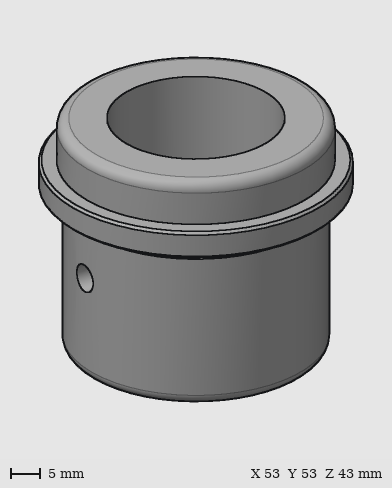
import cadquery as cq
import math

flange_radius = 26.5
head_radius = 23.5
body_radius = 22.5
bore_radius = 15.0
neck_radius = 21.8
total_height = 43.0
flange_bottom = 30.0
flange_thickness = 5.0
neck_height = 2.1
head_fillet = 2.0
flange_chamfer = 0.5
foot_fillet = 2.0
hole_diameter = 5.0
hole_height = 18.95

flange_top = flange_bottom + flange_thickness
neck_bottom = flange_bottom - neck_height


def cylinder(radius, bottom, top):
    """Upright cylinder about the Z axis."""
    return cq.Workplane("XY").workplane(offset=bottom).circle(radius).extrude(top - bottom)


body = cylinder(body_radius, 0, neck_bottom).faces("<Z").edges().fillet(foot_fillet)

neck_inset = body_radius - neck_radius
flank_radius = (neck_height**2 + neck_inset**2) / (2 * neck_inset)
half_height = neck_height / 2
flank_middle = neck_radius + flank_radius - math.sqrt(flank_radius**2 - half_height**2)
neck = (
    cq.Workplane("XZ")
    .moveTo(0, neck_bottom)
    .lineTo(body_radius, neck_bottom)
    .threePointArc((flank_middle, neck_bottom + half_height), (neck_radius, flange_bottom))
    .lineTo(0, flange_bottom)
    .close()
    .revolve(360, (0, 0, 0), (0, 1, 0))
)

flange = cylinder(flange_radius, flange_bottom, flange_top).edges("%CIRCLE").chamfer(flange_chamfer)

head = cylinder(head_radius, flange_top, total_height).faces(">Z").edges().fillet(head_fillet)

bore = cylinder(bore_radius, 0, total_height)

radial_hole = (
    cq.Workplane("XZ")
    .center(0, hole_height)
    .circle(hole_diameter / 2)
    .extrude(flange_radius)
)

result = body.union(neck).union(flange).union(head).cut(bore).cut(radial_hole)